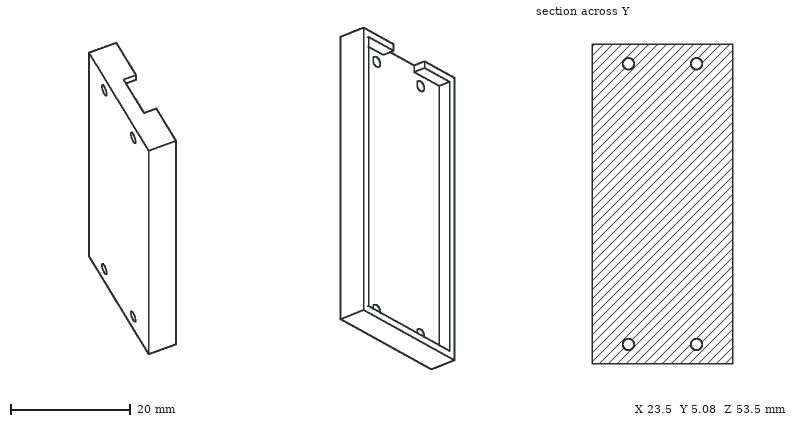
import cadquery as cq

pocket_width = 21.0
pocket_height = 51.0
wall = 1.27
depth = 5.08
pocket_depth = 2.286
notch_width = 8.0
hole_diameter = 1.88
hole_spacing_x = 11.4
hole_spacing_z = 47.0

width = pocket_width + 2 * wall
height = pocket_height + 2 * wall
pocket_center_y = depth / 2 - pocket_depth / 2


def make_body():
    """Rectangular block centred on the origin, front face towards -Y."""
    return cq.Workplane("XY").box(width, depth, height)


def make_pocket():
    """Shallow rectangular recess, open at the back and enclosed by the rim."""
    pocket = cq.Workplane("XY").box(pocket_width, pocket_depth, pocket_height)
    return pocket.translate((0, pocket_center_y, 0))


def make_notch():
    """Opening through the middle of the top rim, level with the pocket floor."""
    notch = cq.Workplane("XY").box(notch_width, pocket_depth, wall)
    return notch.translate((0, pocket_center_y, (height - wall) / 2))


def make_holes():
    """Four holes along Y, right through the part's thickness."""
    return (
        cq.Workplane("XZ")
        .rect(hole_spacing_x, hole_spacing_z, forConstruction=True)
        .vertices()
        .circle(hole_diameter / 2)
        .extrude(depth / 2, both=True)
    )


result = make_body().cut(make_pocket()).cut(make_notch()).cut(make_holes())